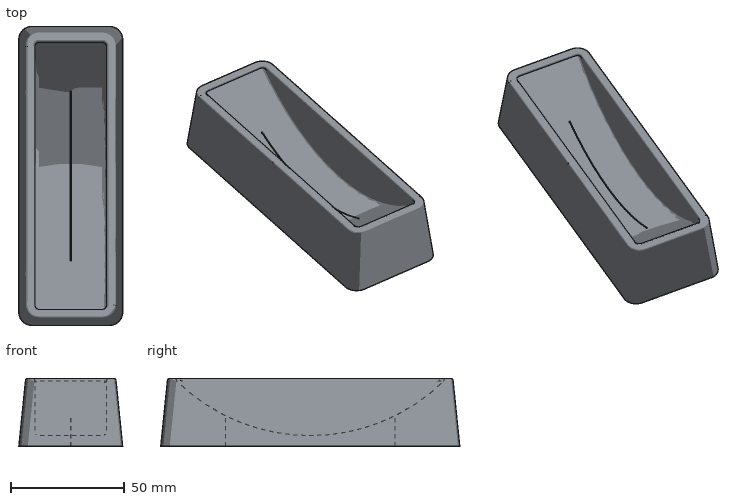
import cadquery as cq

length = 132.0
width = 46.0
height = 30.0
side_inset = 3.0
corner_radius = 6.0
rim_rounding = 1.0

wall_at_base = 7.1
pocket_width = width - 2 * wall_at_base
pocket_length = length - 2 * wall_at_base
pocket_corner_radius = 2.0
floor_rounding = 1.8
floor_thickness = 4.8
floor_end_depth = 1.2

slit_length = 74.7
slit_width = 0.4


def rounded_rectangle(size_x, size_y, radius, z):
    """Closed rounded rectangle centred on the Z axis at height z."""
    return cq.Sketch().rect(size_x, size_y).vertices().fillet(radius).moved(cq.Location(cq.Vector(0, 0, z)))


def make_body():
    base = rounded_rectangle(width, length, corner_radius, 0)
    top = rounded_rectangle(width - 2 * side_inset, length - 2 * side_inset, corner_radius, height)
    body = cq.Workplane("XY").placeSketch(base, top).loft()
    return body.faces(">Z").edges().fillet(rim_rounding)


def make_well(top_z):
    """Straight prism with the pocket's outline, from the base up to top_z."""
    outline = rounded_rectangle(pocket_width, pocket_length, pocket_corner_radius, 0)
    return cq.Workplane("XY").placeSketch(outline).extrude(top_z)


def make_wall():
    """Outer body with the well cut through it and both rim edges rounded."""
    wall = make_body().cut(make_well(height))
    return wall.faces(">Z").wires().item(1).edges().fillet(rim_rounding)


def make_floor():
    """Filling of the well, hollowed by an arc that blends into the long walls."""
    half_length = pocket_length / 2
    floor_end_z = height - floor_end_depth
    hollow = (
        cq.Workplane("YZ")
        .moveTo(-half_length, height)
        .lineTo(-half_length, floor_end_z)
        .threePointArc((0, floor_thickness), (half_length, floor_end_z))
        .lineTo(half_length, height)
        .close()
        .extrude(pocket_width / 2, both=True)
    )
    hollow = hollow.faces("<Z").edges("<X or >X").fillet(floor_rounding)
    return make_well(height - rim_rounding).cut(hollow)


def make_slit():
    return cq.Workplane("XY").box(slit_width, slit_length, height, centered=(True, True, False))


result = make_wall().union(make_floor()).cut(make_slit()).clean()